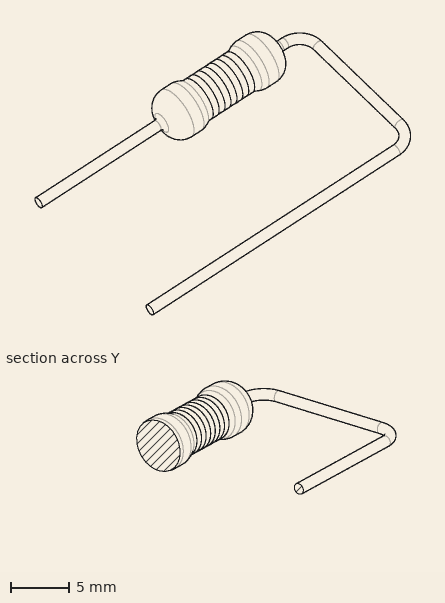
import cadquery as cq
import math


wire_diameter = 1.0
lead_pitch = 15.02
bend_radius = 2.0
total_length = 29.8
body_to_outer_bend = 9.83

cap_diameter = 4.8
core_diameter = 4.08
band_diameter = 4.1
band_width = 0.65
band_section_count = 7
shoulder_length = 1.3
cap_straight_length = 1.1
neck_fillet = 0.48
body_half_length = 6.8

wire_radius = wire_diameter / 2
cap_radius = cap_diameter / 2
core_radius = core_diameter / 2
core_half_length = band_section_count * band_width / 2
cap_start = core_half_length + shoulder_length
dome_start = cap_start + cap_straight_length
cross_wire_y = body_to_outer_bend - wire_radius
lead_end_y = body_to_outer_bend - total_length


def make_body_end():
    """Revolve the +Y cap and its shoulder around the Y axis."""
    half_step = (cap_radius - core_radius) / 2
    half_shoulder = shoulder_length / 2
    shoulder_radius = (half_step**2 + half_shoulder**2) / (2 * half_step)
    shoulder_mid = (core_radius + half_step, core_half_length + half_shoulder)
    neck_x = wire_radius + neck_fillet
    reach = cap_radius - neck_x
    rise = body_half_length - dome_start
    dome_radius = (reach**2 + rise**2 - neck_fillet**2) / (2 * (reach + neck_fillet))
    tangent_angle = math.atan2(rise, neck_x - (cap_radius - dome_radius))
    dome_end = (
        cap_radius - dome_radius + dome_radius * math.cos(tangent_angle),
        dome_start + dome_radius * math.sin(tangent_angle),
    )
    profile = (
        cq.Workplane("XY")
        .moveTo(0, core_half_length)
        .lineTo(core_radius, core_half_length)
        .radiusArc(shoulder_mid, shoulder_radius)
        .tangentArcPoint((cap_radius, cap_start), relative=False)
        .lineTo(cap_radius, dome_start)
        .tangentArcPoint(dome_end, relative=False)
        .tangentArcPoint((wire_radius, body_half_length), relative=False)
        .lineTo(0, body_half_length)
        .close()
    )
    return profile.revolve(360, (0, 0, 0), (0, 1, 0))


def make_disc(diameter, start_y, length):
    """Cylinder around the Y axis, running toward +Y from start_y."""
    return (
        cq.Workplane("XZ", origin=(0, start_y, 0))
        .circle(diameter / 2)
        .extrude(-length)
    )


def make_wire():
    """One continuous wire through the body and around both bends."""
    bend_start_y = cross_wire_y - bend_radius
    path = (
        cq.Workplane("XY")
        .moveTo(0, lead_end_y)
        .lineTo(0, bend_start_y)
        .radiusArc((bend_radius, cross_wire_y), bend_radius)
        .lineTo(lead_pitch - bend_radius, cross_wire_y)
        .radiusArc((lead_pitch, bend_start_y), bend_radius)
        .lineTo(lead_pitch, lead_end_y)
    )
    return cq.Workplane("XZ", origin=(0, lead_end_y, 0)).circle(wire_radius).sweep(path)


body_end = make_body_end()
core = make_disc(core_diameter, -core_half_length, 2 * core_half_length)
body = core.union(body_end).union(body_end.mirror("XZ"))
for section in range(0, band_section_count, 2):
    band_start = section * band_width - core_half_length
    body = body.union(make_disc(band_diameter, band_start, band_width))

result = body.union(make_wire())